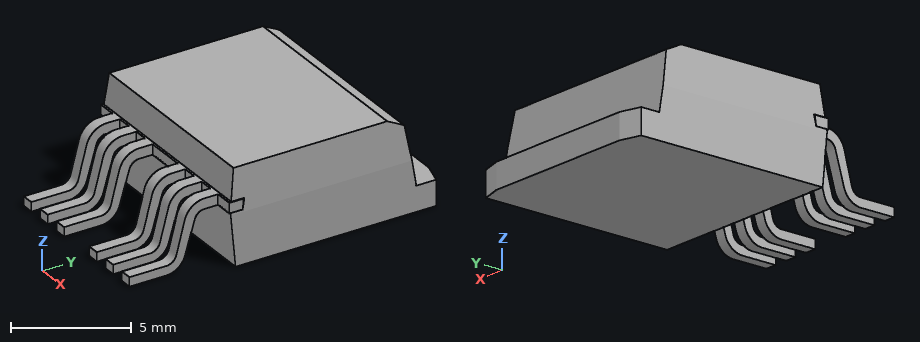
import cadquery as cq
import math

width = 10.0
length = 14.75
height = 4.6
toe_y = -length / 2
tab_end_y = length / 2

tab_height = 1.25
tab_corner_x = 1.05
tab_corner_y = 0.3

side_parting_z = 2.5
body_front_y = toe_y + 4.38
front_setback = 0.25
side_setback = 0.17
rear_foot_y = tab_end_y - 1.28
rear_draft = math.radians(9.5)
bevel_drop = 0.42
bevel_run = 0.83

lead_width = 0.6
lead_thickness = 0.5
lead_pitch = 1.27
leads_per_side = 3
shoulder_top_z = 3.11
foot_thickness = 0.46
foot_length = 1.81
bend_inner_radius = 0.5
bend_outer_radius = bend_inner_radius + lead_thickness
shank_lean = math.radians(15)
bend_turn = math.pi / 2 - shank_lean

bar_bottom_z = shoulder_top_z - lead_thickness
bar_front_y = toe_y + 4.33
bar_depth_top = 0.73
bar_depth_bottom = 0.65


def extrude_across(profile, span):
    """Extrude a YZ profile symmetrically about X = 0."""
    return profile.close().extrude(span / 2, both=True)


def make_body():
    bevel_z = height - bevel_drop
    bevel_y = rear_foot_y - (bevel_z - tab_height) * math.tan(rear_draft)
    side_profile = (
        cq.Workplane("YZ")
        .moveTo(body_front_y + front_setback, 0)
        .lineTo(body_front_y, bar_bottom_z)
        .lineTo(body_front_y + front_setback, height)
        .lineTo(bevel_y - bevel_run, height)
        .lineTo(bevel_y, bevel_z)
        .lineTo(rear_foot_y, tab_height)
        .lineTo(rear_foot_y, 0)
    )
    half_width = width / 2
    cross_section = (
        cq.Workplane("XZ")
        .moveTo(-half_width, 0)
        .lineTo(half_width, 0)
        .lineTo(half_width, side_parting_z)
        .lineTo(half_width - side_setback, height)
        .lineTo(-half_width + side_setback, height)
        .lineTo(-half_width, side_parting_z)
        .close()
        .extrude(length / 2, both=True)
    )
    return extrude_across(side_profile, width).intersect(cross_section)


def make_tab():
    half_width = width / 2
    corner_start_y = tab_end_y - tab_corner_y
    return (
        cq.Workplane("XY")
        .moveTo(-half_width, 0)
        .lineTo(half_width, 0)
        .lineTo(half_width, corner_start_y)
        .lineTo(half_width - tab_corner_x, tab_end_y)
        .lineTo(-half_width + tab_corner_x, tab_end_y)
        .lineTo(-half_width, corner_start_y)
        .close()
        .extrude(tab_height)
    )


def make_bar():
    profile = (
        cq.Workplane("YZ")
        .moveTo(bar_front_y, bar_bottom_z)
        .lineTo(bar_front_y, shoulder_top_z)
        .lineTo(bar_front_y + bar_depth_top, shoulder_top_z)
        .lineTo(bar_front_y + bar_depth_bottom, bar_bottom_z)
    )
    return extrude_across(profile, width)


def on_circle(center, radius, angle):
    """Point at an angle measured from +Y towards +Z."""
    return (center[0] + radius * math.cos(angle), center[1] + radius * math.sin(angle))


def make_lead():
    lower_center = (toe_y + foot_length, foot_thickness + bend_inner_radius)
    shank_bottom = on_circle(lower_center, bend_inner_radius, -shank_lean)
    upper_center_z = shoulder_top_z - bend_outer_radius
    shank_top_z = upper_center_z + bend_outer_radius * math.sin(shank_lean)
    shank_top_y = shank_bottom[0] + (shank_top_z - shank_bottom[1]) * math.tan(shank_lean)
    upper_center = (shank_top_y + bend_outer_radius * math.cos(shank_lean), upper_center_z)

    root_y = bar_front_y + bar_depth_bottom / 2
    lower_outer_radius = bend_inner_radius + foot_thickness
    lower_mid = -math.pi / 2 + bend_turn / 2
    upper_mid = math.pi - shank_lean - bend_turn / 2
    upper_end = math.pi - shank_lean
    profile = (
        cq.Workplane("YZ")
        .moveTo(toe_y, 0)
        .lineTo(toe_y, foot_thickness)
        .lineTo(lower_center[0], foot_thickness)
        .threePointArc(on_circle(lower_center, bend_inner_radius, lower_mid), shank_bottom)
        .lineTo(shank_top_y, shank_top_z)
        .threePointArc(
            on_circle(upper_center, bend_outer_radius, upper_mid),
            (upper_center[0], shoulder_top_z),
        )
        .lineTo(root_y, shoulder_top_z)
        .lineTo(root_y, bar_bottom_z)
        .lineTo(upper_center[0], bar_bottom_z)
        .threePointArc(
            on_circle(upper_center, bend_inner_radius, upper_mid),
            on_circle(upper_center, bend_inner_radius, upper_end),
        )
        .lineTo(*on_circle(lower_center, lower_outer_radius, -shank_lean))
        .threePointArc(on_circle(lower_center, lower_outer_radius, lower_mid), (lower_center[0], 0))
    )
    return extrude_across(profile, lead_width)


def lead_positions():
    """Two groups of leads, with the centre position left empty."""
    positions = [lead_pitch * step for step in range(1, leads_per_side + 1)]
    return [side * x for side in (-1, 1) for x in positions]


result = make_body().union(make_tab()).union(make_bar())
lead = make_lead()
for lead_x in lead_positions():
    result = result.union(lead.translate((lead_x, 0, 0)))